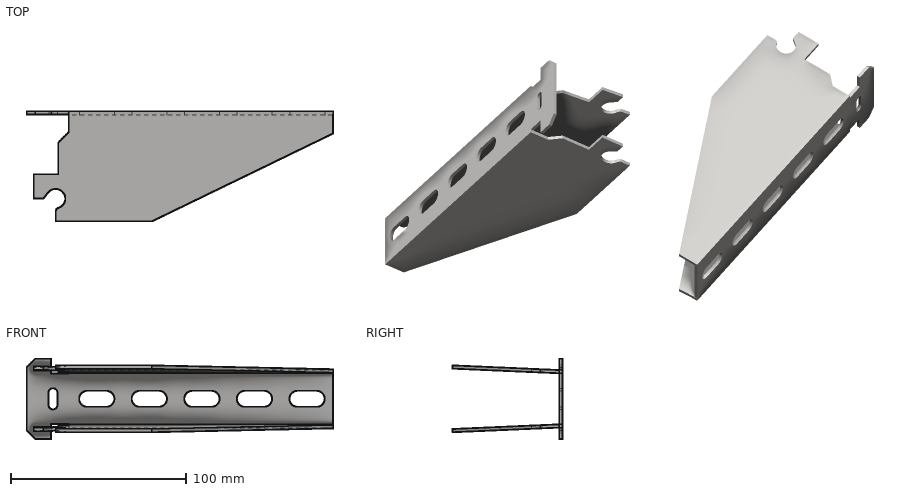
import cadquery as cq
import math

thickness = 2.0
length = 175.0
bend_overhang = 0.1
sheet_end_x = length - bend_overhang

head_length = 14.0
head_height = 46.0
head_chamfer = 5.0
web_height = 33.0
neck_height = web_height - 2 * thickness
bend_start_x = 24.0

splay_angle = 2.5
flange_depth = 61.0
flange_tip_depth = 10.8
taper_start_x = 71.5
shoulder_x = 18.0
shoulder_chamfer = bend_start_x - shoulder_x
shoulder_depth = 10.0

hook_x = 4.0
hook_top_depth = 34.0
hook_bottom_depth = 48.0
hook_end_x = 9.5
mouth_x = 16.5
mouth_depth = hook_bottom_depth
mouth_radius = 5.5
lip_radius = 2.2

fixing_slot_x = 15.0
fixing_slot_length = 12.0
fixing_slot_width = 5.0
long_slot_count = 5
long_slot_first_x = 40.0
long_slot_pitch = 30.0
long_slot_length = 20.0
long_slot_width = 9.0


def mouth_point(angle):
    """Point on the mouth circle; 0 degrees is +X, 90 degrees is towards the web."""
    return (
        mouth_x + mouth_radius * math.cos(math.radians(angle)),
        -mouth_depth + mouth_radius * math.sin(math.radians(angle)),
    )


def make_web():
    half_head = head_height / 2
    half_web = web_height / 2
    half_neck = neck_height / 2
    upper_outline = [
        (0, half_head - head_chamfer),
        (head_chamfer, half_head),
        (head_length, half_head),
        (head_length, half_neck),
        (bend_start_x, half_neck),
        (bend_start_x, half_web),
        (sheet_end_x, half_web),
    ]
    lower_outline = [(x, -z) for x, z in reversed(upper_outline)]
    return cq.Workplane("XZ").polyline(upper_outline + lower_outline).close().extrude(thickness)


def cut_slots(web):
    web_plane = cq.Workplane("XZ")
    fixing_slot = (
        web_plane.center(fixing_slot_x, 0)
        .slot2D(fixing_slot_length, fixing_slot_width, 90)
        .extrude(thickness)
    )
    web = web.cut(fixing_slot)
    for index in range(long_slot_count):
        long_slot = (
            web_plane.center(long_slot_first_x + index * long_slot_pitch, 0)
            .slot2D(long_slot_length, long_slot_width)
            .extrude(thickness)
        )
        web = web.cut(long_slot)
    return web


def make_upper_bend():
    """Square strip of the bend, running on past the end of the sheet."""
    strip_length = length - bend_start_x
    return cq.Workplane("XY").box(strip_length, thickness, thickness, centered=False).translate(
        (bend_start_x, -thickness, neck_height / 2)
    )


def make_upper_flange():
    """Flat flange with its root along Y = 0, then tilted and set on the bend."""
    lead_in_angle = 180 - math.degrees(math.acos(mouth_radius / (mouth_x - hook_end_x)))
    centre_distance = mouth_radius + lip_radius
    lip_angle = -math.degrees(math.acos(lip_radius / centre_distance))
    lip_centre_x = mouth_x + lip_radius
    lip_centre_y = -mouth_depth + centre_distance * math.sin(math.radians(lip_angle))
    lip_middle_angle = math.radians(180 + lip_angle / 2)
    lip_middle = (
        lip_centre_x + lip_radius * math.cos(lip_middle_angle),
        lip_centre_y + lip_radius * math.sin(lip_middle_angle),
    )

    flange = (
        cq.Workplane("XY")
        .moveTo(bend_start_x, 0)
        .lineTo(bend_start_x, -shoulder_depth)
        .lineTo(shoulder_x, -shoulder_depth - shoulder_chamfer)
        .lineTo(shoulder_x, -hook_top_depth)
        .lineTo(hook_x, -hook_top_depth)
        .lineTo(hook_x, -hook_bottom_depth)
        .lineTo(hook_end_x, -hook_bottom_depth)
        .lineTo(*mouth_point(lead_in_angle))
        .threePointArc(mouth_point((lead_in_angle + lip_angle) / 2), mouth_point(lip_angle))
        .threePointArc(lip_middle, (mouth_x, lip_centre_y))
        .lineTo(mouth_x, -flange_depth)
        .lineTo(taper_start_x, -flange_depth)
        .lineTo(sheet_end_x, -flange_tip_depth)
        .lineTo(sheet_end_x, 0)
        .close()
        .extrude(thickness)
    )
    flange = flange.rotate((0, 0, 0), (1, 0, 0), -splay_angle)
    return flange.translate((0, -thickness, neck_height / 2))


upper_side = make_upper_bend().union(make_upper_flange())
lower_side = upper_side.mirror("XY")
result = cut_slots(make_web()).union(upper_side).union(lower_side)